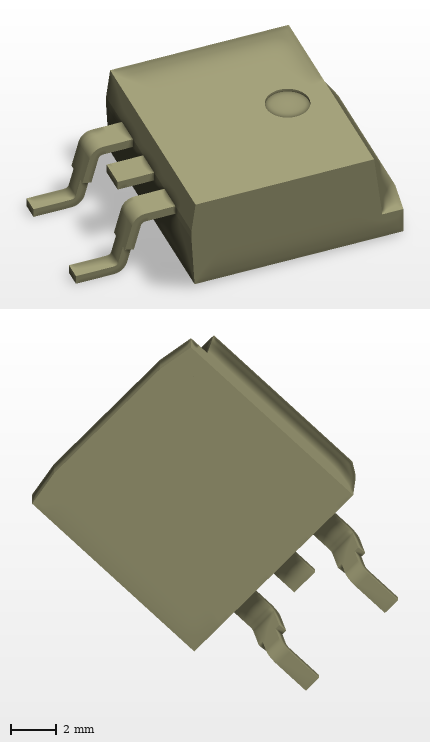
import cadquery as cq
import math


width = 10.15
total_height = 4.67
standoff = 0.14
housing_depth = 9.12
top_front_inset = 0.2
top_rear_inset = 0.39
bottom_front_inset = 0.15
mark_diameter = 2.02
mark_depth = 0.15
mark_y = 6.63

total_length = 15.07
lead_reach = 4.65
tab_thickness = 1.27
tab_corner_width = 1.69
tab_corner_depth = 0.29

lead_thickness = 0.44
lead_width = 1.31
foot_width = 0.83
lead_pitch = 5.05
lead_drop_from_top = 1.46
bend_start = 1.43
inner_radius = 0.23
slope_angle = 15.0
step_drop = 1.76
stub_length = 1.75

lead_top = total_height - lead_drop_from_top
lead_bottom = lead_top - lead_thickness
outer_radius = inner_radius + lead_thickness
tab_top = standoff + tab_thickness
tab_rear = total_length - lead_reach


def make_housing():
    """Moulded housing: tapered side profile with a round mark sunk in the top."""
    profile = [
        (bottom_front_inset, standoff),
        (0, lead_bottom),
        (0, lead_top),
        (top_front_inset, total_height),
        (housing_depth - top_rear_inset, total_height),
        (housing_depth, tab_top),
        (housing_depth, standoff),
    ]
    block = cq.Workplane("YZ").polyline(profile).close().extrude(width / 2, both=True)
    mark = (
        cq.Workplane("XY", origin=(0, mark_y, total_height - mark_depth))
        .circle(mark_diameter / 2)
        .extrude(mark_depth)
    )
    return block.cut(mark).solids()


def make_tab():
    """Flat tab behind the housing with its two rear corners cut off at a slant."""
    half = width / 2
    outline = [
        (-half, housing_depth),
        (half, housing_depth),
        (half, tab_rear - tab_corner_depth),
        (half - tab_corner_width, tab_rear),
        (tab_corner_width - half, tab_rear),
        (-half, tab_rear - tab_corner_depth),
    ]
    return cq.Workplane("XY", origin=(0, 0, standoff)).polyline(outline).close().extrude(tab_thickness)


def make_lead(x):
    """Gull-wing lead: bent strip that narrows partway down its sloping part."""
    slope = math.tan(math.radians(slope_angle))
    half_bend = math.tan(math.radians((90 - slope_angle) / 2))
    top_outer_y = -bend_start - outer_radius * half_bend
    top_inner_y = -bend_start - inner_radius * half_bend
    foot_inner_y = top_outer_y - (lead_top - lead_thickness) * slope
    foot_outer_y = top_inner_y - lead_bottom * slope
    profile = [
        (0, lead_top),
        (top_outer_y, lead_top),
        (foot_inner_y, lead_thickness),
        (-lead_reach, lead_thickness),
        (-lead_reach, 0),
        (foot_outer_y, 0),
        (top_inner_y, lead_bottom),
        (0, lead_bottom),
    ]
    strip = cq.Workplane("YZ").polyline(profile).close().extrude(lead_width / 2, both=True)

    def round_bend(body, y, z, radius):
        return body.edges(cq.selectors.NearestToPointSelector((0, y, z))).fillet(radius)

    strip = round_bend(strip, top_outer_y, lead_top, outer_radius)
    strip = round_bend(strip, top_inner_y, lead_bottom, inner_radius)
    strip = round_bend(strip, foot_inner_y, lead_thickness, inner_radius)
    strip = round_bend(strip, foot_outer_y, 0, outer_radius)

    step_y = top_outer_y - step_drop * slope
    step_z = lead_top - step_drop
    step_plane = cq.Plane(
        origin=(0, step_y, step_z),
        xDir=(1, 0, 0),
        normal=(0, -math.sin(math.radians(slope_angle)), -math.cos(math.radians(slope_angle))),
    )
    side_trim = (lead_width - foot_width) / 2
    trim_centre = (foot_width + side_trim) / 2
    trims = (
        cq.Workplane(step_plane)
        .pushPoints([(-trim_centre, 0), (trim_centre, 0)])
        .rect(side_trim, 2 * lead_reach)
        .extrude(lead_top)
    )
    return strip.cut(trims).translate((x, 0, 0)).solids()


def make_stub():
    """Short straight middle lead."""
    return cq.Workplane("XY").box(
        lead_width, stub_length, lead_thickness, centered=(True, False, False)
    ).translate((0, -stub_length, lead_bottom))


housing = make_housing()
tab = make_tab()
stub = make_stub()
leads = [make_lead(side * lead_pitch / 2) for side in (-1, 1)]

result = cq.Compound.makeCompound(
    [housing.val(), tab.val(), stub.val(), *[lead.val() for lead in leads]]
)